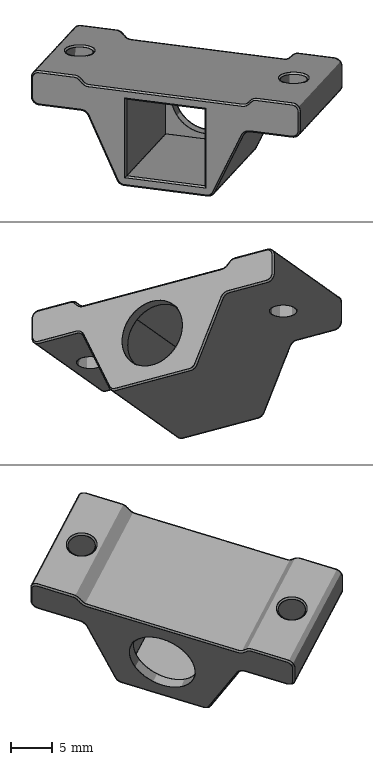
import cadquery as cq

length = 34.5
depth = 16.0
height = 13.6

flange_thickness = 4.5
recess_depth = 1.0
pad_width = 6.0
hopper_top_width = 20.42
hopper_bottom_width = 11.95
corner_radius = 1.0
edge_chamfer = 0.2

pocket_size = 10.0
pocket_wall = 1.3
pocket_chamfer = 0.2
opening_diameter = 8.6

screw_diameter = 3.3
screw_inset = 3.52
screw_chamfer = 0.2

half_length = length / 2
flange_bottom = height - flange_thickness
recess_floor = height - recess_depth
pad_inner = half_length - pad_width
recess_half = pad_inner - recess_depth
pocket_center = pocket_wall + pocket_size / 2


def make_body():
    """Winged profile extruded along Y, with rounded corners and chamfered ends."""
    right_side = [
        (hopper_bottom_width / 2, 0),
        (hopper_top_width / 2, flange_bottom),
        (half_length, flange_bottom),
        (half_length, height),
        (pad_inner, height),
        (recess_half, recess_floor),
    ]
    left_side = [(-x, z) for x, z in reversed(right_side)]
    profile = cq.Workplane("XZ").polyline(right_side + left_side).close()
    body = profile.extrude(depth / 2, both=True)
    body = body.edges("|Y").fillet(corner_radius)
    return body.faces("<Y or >Y").edges().chamfer(edge_chamfer)


def make_pocket():
    """Square pocket open at the front, flaring at its mouth, plus the round opening."""
    front = cq.Workplane("XZ", origin=(0, -depth / 2, pocket_center))
    pocket = front.rect(pocket_size, pocket_size).extrude(-(depth - pocket_wall))
    mouth_size = pocket_size + 2 * pocket_chamfer
    mouth = (
        front.rect(mouth_size, mouth_size)
        .workplane(offset=-pocket_chamfer)
        .rect(pocket_size, pocket_size)
        .loft(ruled=True)
    )
    opening = front.circle(opening_diameter / 2).extrude(-depth)
    return pocket.union(mouth).union(opening)


def drill_screw_holes(body):
    """Vertical holes through both wings, countersunk at the top."""
    hole_x = half_length - screw_inset
    return (
        body.faces(">Z")
        .workplane(origin=(0, 0, height))
        .pushPoints([(-hole_x, 0), (hole_x, 0)])
        .cskHole(screw_diameter, screw_diameter + 2 * screw_chamfer, 90)
    )


result = drill_screw_holes(make_body().cut(make_pocket()))